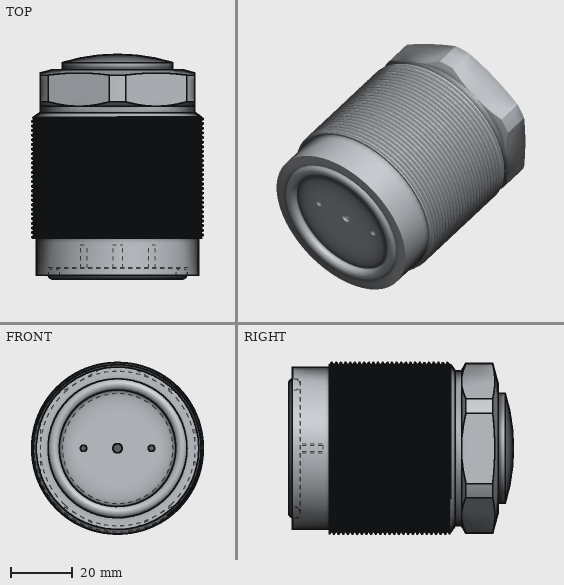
import cadquery as cq
import math


OVERALL_LENGTH = 72.75

RING_RADIUS = 20.65
RING_SECTION_RADIUS = 1.8
RING_PROTRUSION = 1.25
RECESS_RADIUS = RING_RADIUS + RING_SECTION_RADIUS
RECESS_DEPTH = 2.6

SHOULDER_Z = 12.0
NECK_Z = 52.7
NUT_Z = 54.7
NUT_BACK_Z = 66.55
CAP_RIM_Z = 68.8
CAP_TOP_Z = OVERALL_LENGTH - RING_PROTRUSION

NOSE_RADIUS = 26.25
NECK_RADIUS = 25.0
CAP_RADIUS = 17.8

THREAD_DIAMETER = 55.5
THREAD_RADIUS = THREAD_DIAMETER / 2
THREAD_DEPTH = 0.7
THREAD_TURNS = 26
THREAD_CREST_SPAN = 39.0
THREAD_PITCH = THREAD_CREST_SPAN / THREAD_TURNS
THREAD_BASE_WIDTH = 1.0
THREAD_CREST_WIDTH = 0.15
THREAD_ROOT_RADIUS = THREAD_RADIUS - THREAD_DEPTH
THREAD_ROOT_OVERLAP = 0.2
THREAD_RUNOUT = 2 * THREAD_PITCH
FIRST_CREST_Z = 13.1
CHAMFER_SLOPE = 0.7

HEX_SIDES = 6
HEX_ACROSS_FLATS = 2 * NECK_RADIUS
HEX_CORNER_RADIUS = 27.5
HEX_FRONT_ANGLE = 30
HEX_BACK_ANGLE = 15
HEX_BACK_FACE_RADIUS = 20.9

CENTRE_HOLE_DIAMETER = 3.0
SIDE_HOLE_DIAMETER = 2.05
SIDE_HOLE_OFFSET = 11.0
HOLE_DEPTH = 7.3


def revolve_profile(points):
    """Revolve a closed (radius, z) outline about the local Z axis."""
    outline = cq.Workplane("XZ").polyline(points).close()
    return outline.revolve(360, (0, 0, 0), (0, 1, 0))


def chamfer_z(radius):
    """Height at which the thread's back chamfer reaches the given radius."""
    return NECK_Z - CHAMFER_SLOPE * (radius - NECK_RADIUS)


def make_cylinder(radius, start_z, end_z):
    """Plain cylinder on the local Z axis."""
    return cq.Workplane("XY").workplane(offset=start_z).circle(radius).extrude(end_z - start_z)


def make_threaded_length():
    """Threaded length: a ridged rod trimmed by the shoulder plane and the back chamfer."""
    start_z = FIRST_CREST_Z - THREAD_RUNOUT
    end_z = NECK_Z + THREAD_PITCH
    helix_height = end_z - start_z
    inner_radius = THREAD_ROOT_RADIUS - THREAD_ROOT_OVERLAP
    path = cq.Workplane(
        cq.Wire.makeHelix(THREAD_PITCH, helix_height, inner_radius)
    ).translate((0, 0, start_z))
    flank_slope = (THREAD_BASE_WIDTH - THREAD_CREST_WIDTH) / 2 / THREAD_DEPTH
    half_base = THREAD_BASE_WIDTH / 2 + flank_slope * THREAD_ROOT_OVERLAP
    half_crest = THREAD_CREST_WIDTH / 2
    ridge = (
        cq.Workplane("XZ")
        .polyline([
            (inner_radius, start_z - half_base),
            (THREAD_RADIUS, start_z - half_crest),
            (THREAD_RADIUS, start_z + half_crest),
            (inner_radius, start_z + half_base),
        ])
        .close()
        .sweep(path, isFrenet=True)
    )
    rod = make_cylinder(THREAD_ROOT_RADIUS, start_z - THREAD_RUNOUT, end_z + THREAD_RUNOUT)
    limit_radius = THREAD_RADIUS + THREAD_DEPTH
    limits = revolve_profile([
        (0, SHOULDER_Z),
        (limit_radius, SHOULDER_Z),
        (limit_radius, chamfer_z(limit_radius)),
        (NECK_RADIUS, NECK_Z),
        (0, NECK_Z),
    ])
    return rod.union(ridge, clean=False).intersect(limits, clean=False)


def make_nut():
    """Hexagon with two flats facing along X, corners rounded and both ends turned conical."""
    half_side_angle = 180 / HEX_SIDES
    corner_diameter = HEX_ACROSS_FLATS / math.cos(math.radians(half_side_angle))
    hexagon = (
        cq.Workplane("XY")
        .workplane(offset=NUT_Z)
        .polygon(HEX_SIDES, corner_diameter)
        .extrude(NUT_BACK_Z - NUT_Z)
        .rotate((0, 0, 0), (0, 0, 1), half_side_angle)
    )
    front_rise = (HEX_CORNER_RADIUS - NECK_RADIUS) * math.tan(math.radians(HEX_FRONT_ANGLE))
    back_drop = (HEX_CORNER_RADIUS - HEX_BACK_FACE_RADIUS) * math.tan(math.radians(HEX_BACK_ANGLE))
    turned_blank = revolve_profile([
        (0, NUT_Z),
        (NECK_RADIUS, NUT_Z),
        (HEX_CORNER_RADIUS, NUT_Z + front_rise),
        (HEX_CORNER_RADIUS, NUT_BACK_Z - back_drop),
        (HEX_BACK_FACE_RADIUS, NUT_BACK_Z),
        (0, NUT_BACK_Z),
    ])
    return hexagon.intersect(turned_blank)


def make_recess():
    """Round recess in the front face that holds the O-ring."""
    return cq.Workplane("XY").circle(RECESS_RADIUS).extrude(RECESS_DEPTH)


def make_holes():
    """Centre hole with a smaller hole on each side along X."""
    recess_floor = cq.Workplane("XY").workplane(offset=RECESS_DEPTH)
    centre = recess_floor.circle(CENTRE_HOLE_DIAMETER / 2).extrude(HOLE_DEPTH)
    sides = (
        recess_floor
        .pushPoints([(-SIDE_HOLE_OFFSET, 0), (SIDE_HOLE_OFFSET, 0)])
        .circle(SIDE_HOLE_DIAMETER / 2)
        .extrude(HOLE_DEPTH)
    )
    return centre.union(sides)


def make_housing():
    nose = make_cylinder(NOSE_RADIUS, 0, SHOULDER_Z).cut(make_recess())
    neck = make_cylinder(NECK_RADIUS, NECK_Z, NUT_Z)
    body = make_threaded_length()
    for section in (nose, neck, make_nut()):
        body = body.union(section, clean=False)
    return body.cut(make_holes(), clean=False)


def make_o_ring():
    """Torus seated against the recess wall and standing proud of the front face."""
    return (
        cq.Workplane("XZ")
        .center(RING_RADIUS, RING_SECTION_RADIUS - RING_PROTRUSION)
        .circle(RING_SECTION_RADIUS)
        .revolve(360, (-RING_RADIUS, 0, 0), (-RING_RADIUS, 1, 0))
    )


def make_cap():
    """Domed disc seated on the back of the nut."""
    dome_height = CAP_TOP_Z - CAP_RIM_Z
    dome_radius = (CAP_RADIUS ** 2 + dome_height ** 2) / (2 * dome_height)
    half_angle = math.asin(CAP_RADIUS / dome_radius) / 2
    dome_middle = (
        dome_radius * math.sin(half_angle),
        CAP_TOP_Z - dome_radius * (1 - math.cos(half_angle)),
    )
    return (
        cq.Workplane("XZ")
        .moveTo(0, NUT_BACK_Z)
        .lineTo(CAP_RADIUS, NUT_BACK_Z)
        .lineTo(CAP_RADIUS, CAP_RIM_Z)
        .threePointArc(dome_middle, (0, CAP_TOP_Z))
        .close()
        .revolve(360, (0, 0, 0), (0, 1, 0))
    )


def lay_along_y(body):
    """Turn a body so that its local Z axis points along +Y."""
    return body.rotate((0, 0, 0), (1, 0, 0), -90)


housing = lay_along_y(make_housing())
o_ring = lay_along_y(make_o_ring())
cap = lay_along_y(make_cap())

result = cq.Compound.makeCompound([housing.solids().val(), o_ring.val(), cap.val()])